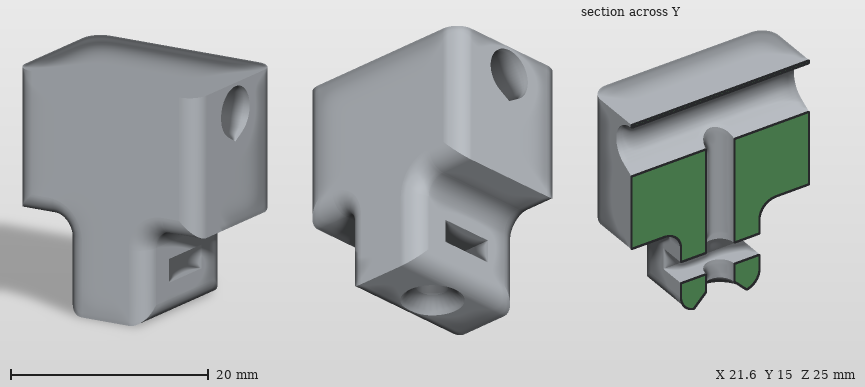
import cadquery as cq
import math

width = 21.6
depth = 15.0
height = 25.0
stem_width = 9.6
head_bottom = 10.0
round_radius = 2.0

hole_diameter = 5.4
hole_center_z = 21.92
teardrop_slope = math.radians(30)

slot_width = 6.2
slot_height = 2.5
slot_center_z = 5.0

screw_hole_diameter = 3.4
countersink_diameter = 6.5
countersink_angle = math.radians(90)


def t_body():
    """T-shaped profile extruded along Y, with its outer edges rounded."""
    half_width = width / 2
    half_stem = stem_width / 2
    shoulder_x = half_stem + round_radius
    neck_z = head_bottom - round_radius
    arc_mid_offset = round_radius * math.sqrt(0.5)
    arc_mid_x = shoulder_x - arc_mid_offset
    arc_mid_z = neck_z + arc_mid_offset
    body = (
        cq.Workplane("XZ")
        .moveTo(-half_stem, 0)
        .lineTo(half_stem, 0)
        .lineTo(half_stem, neck_z)
        .threePointArc((arc_mid_x, arc_mid_z), (shoulder_x, head_bottom))
        .lineTo(half_width, head_bottom)
        .lineTo(half_width, height)
        .lineTo(-half_width, height)
        .lineTo(-half_width, head_bottom)
        .lineTo(-shoulder_x, head_bottom)
        .threePointArc((-arc_mid_x, arc_mid_z), (-half_stem, neck_z))
        .close()
        .extrude(depth / 2, both=True)
    )
    outline_edges = body.faces("<Y or >Y").edges("not(<Z or >Z)")
    bottom_side_edges = body.faces("<Z").edges("|Y")
    return outline_edges.add(bottom_side_edges).fillet(round_radius)


def teardrop_cutter():
    """Round bore with two tangent flanks meeting in a point below it."""
    radius = hole_diameter / 2
    tangent_y = radius * math.sin(teardrop_slope)
    tangent_z = hole_center_z - radius * math.cos(teardrop_slope)
    tip_z = hole_center_z - radius / math.cos(teardrop_slope)
    return (
        cq.Workplane("YZ")
        .moveTo(0, tip_z)
        .lineTo(tangent_y, tangent_z)
        .threePointArc((0, hole_center_z + radius), (-tangent_y, tangent_z))
        .close()
        .extrude(width / 2, both=True)
    )


def slot_cutter():
    """Rectangular passage through the stem."""
    slot = cq.Workplane("XY").box(stem_width, slot_width, slot_height)
    return slot.translate((0, 0, slot_center_z))


def screw_hole_cutter():
    """Round hole along Z that ends inside the teardrop hole, countersunk from below."""
    hole_radius = screw_hole_diameter / 2
    rim_radius = countersink_diameter / 2
    countersink_depth = (rim_radius - hole_radius) / math.tan(countersink_angle / 2)
    return (
        cq.Workplane("XZ")
        .polyline([
            (0, 0),
            (rim_radius, 0),
            (hole_radius, countersink_depth),
            (hole_radius, hole_center_z),
            (0, hole_center_z),
        ])
        .close()
        .revolve(360, (0, 0, 0), (0, 1, 0))
    )


result = t_body().cut(teardrop_cutter()).cut(slot_cutter()).cut(screw_hole_cutter())